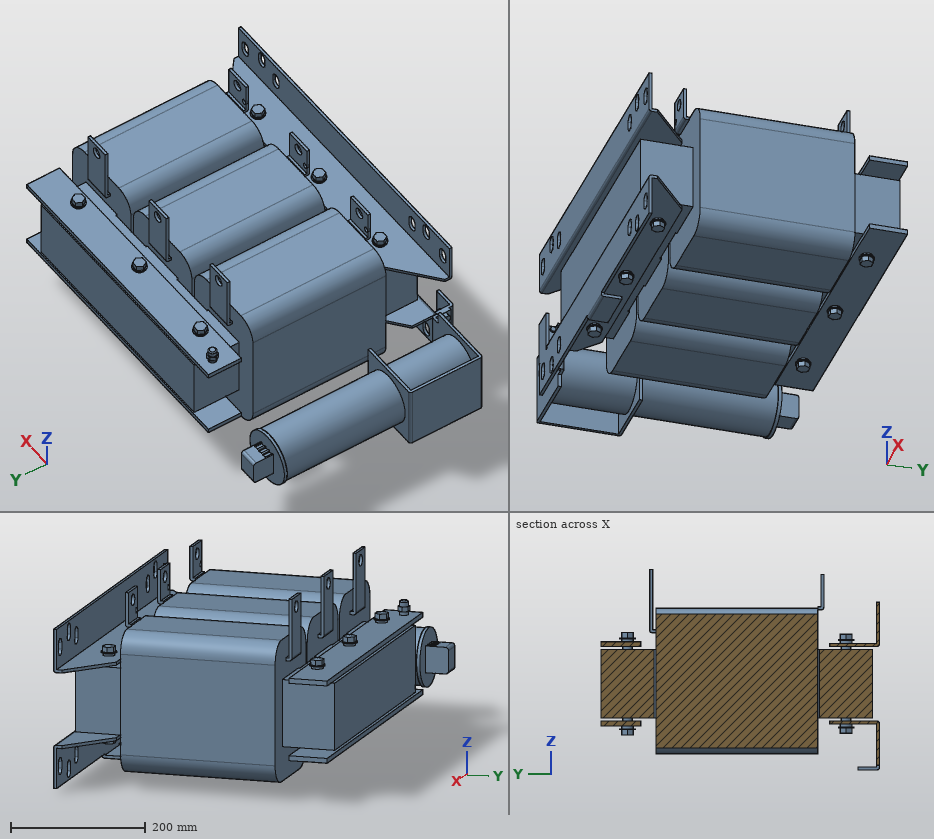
import cadquery as cq


coil_pitch = 159.5
coil_positions = [-coil_pitch, 0, coil_pitch]
leg_width = 81.5
core_length = 2 * coil_pitch + leg_width
core_depth = 405.5
core_height = 103.0
yoke_width = 79.5
coil_width = 153.0
coil_length = 242.0
coil_height = 217.0
coil_center_z = 4.0
coil_corner_radius = 31.5

sheet = 5.0
bend_radius = 4.0
clamp_gap = 4.0
clamp_z = core_height / 2 + clamp_gap
bolt_y = 163.0
spacer_diameter = 14.5
washer_diameter = 18.0
washer_height = 4.0
flange_diameter = 23.0
flange_height = 1.5
head_across_corners = 20.5
head_height = 8.0

bar_length = 475.5
bar_width = 59.5
bar_thickness = 7.5
stud_x = -216.0
stud_y = 180.0
stud_diameter = 14.0
stud_bottom_z = 48.5
stud_top_z = 85.0
stud_chamfer = 2.0
nut_z = 68.5
nut_height = 7.5
nut_across_corners = 18.5

bracket_front_y = -213.0
bracket_length = 552.0
bracket_top_z = 122.0
flange_back_y = -138.5
flange_narrow_length = 403.0
flange_taper_y = -200.0
slot_width = 16.0
slot_length = 26.0
slot_places = [(178.0, 91.0), (215.0, 105.0), (258.0, 91.0)]
lip_length = 71.0
lip_depth = 32.0
lip_bottom_z = -129.0

tab_center_z = -33.0
tab_height = 68.5
tab_right_x = -242.5
notch_right_x = -237.0
notch_bottom_z = -62.0
tab_outer_x = -bracket_length / 2 - 5.5
tab_back_y = -181.5

terminal_width = 45.0
terminal_hole_diameter = 17.0
terminal_hole_drop = 16.0
pin_hole_diameter = 8.0
pin_hole_inset = 5.0
front_terminal_y = -125.5
front_terminal_top_z = 163.0
front_terminal_bottom_z = 110.0
pin_hole_z = 127.5
rear_terminal_y = 125.5
rear_terminal_top_z = 170.5
rear_terminal_bottom_z = 76.0

can_x = -353.0
can_z = tab_center_z
can_diameter = 87.0
can_back_y = 176.0
rim_diameter = 90.5
rim_thickness = 5.5
cradle_left_x = -409.0
cradle_front_y = -177.0
cradle_back_y = -44.5
cradle_height = 109.5
cradle_front_right_x = -298.0
cradle_back_right_x = -299.5
cradle_flange_end_y = -204.0
can_nut_across_corners = 22.5
can_nut_height = 5.0
can_stud_diameter = 14.0
can_stud_length = 11.0
tab_bolt_y = -192.0
tab_bolt_spacing = 56.0
tab_bolt_across_corners = 13.0
tab_bolt_head_height = 8.0
tab_bolt_diameter = 8.0
tab_bolt_end_x = -273.0

connector_width = 32.0
connector_height = 41.0
connector_back_y = 212.0
connector_corner = 5.0
contact_count = 3
contact_pitch = 10.0
contact_width = 7.0
contact_depth = 3.0
contact_length = 13.0


def block(x_range, y_range, z_range):
    """Box given by its limits along each axis."""
    limits = [x_range, y_range, z_range]
    sizes = [high - low for low, high in limits]
    return cq.Workplane("XY").box(*sizes, centered=False).translate(tuple(low for low, high in limits))


def plane(origin, normal):
    """Workplane at a point facing along normal, with its local x along X (or Y when facing X)."""
    along = (0, 1, 0) if normal[0] else (1, 0, 0)
    return cq.Workplane(cq.Plane(origin=origin, xDir=along, normal=normal))


def mirror_z(body):
    return body.mirror("XY")


def make_core():
    core = block(
        (-core_length / 2, core_length / 2),
        (-core_depth / 2, core_depth / 2),
        (-core_height / 2, core_height / 2),
    )
    window_width = coil_pitch - leg_width
    window_depth = core_depth - 2 * yoke_width
    windows = (
        cq.Workplane("XY")
        .pushPoints([(-coil_pitch / 2, 0), (coil_pitch / 2, 0)])
        .rect(window_width, window_depth)
        .extrude(core_height, both=True)
    )
    return core.cut(windows)


def make_coil(x):
    return (
        cq.Workplane("XY")
        .box(coil_width, coil_length, coil_height)
        .edges("|Y")
        .fillet(coil_corner_radius)
        .translate((x, 0, coil_center_z))
    )


def make_terminal(x, plate_y, direction, bottom_z, top_z):
    """Upright lug whose plate starts at plate_y, with a bent foot reaching back into the coil."""
    outer_y = plate_y + direction * sheet
    coil_y = direction * coil_length / 2
    x_range = (x - terminal_width / 2, x + terminal_width / 2)
    lug = block(x_range, sorted((plate_y, outer_y)), (bottom_z, top_z))
    foot = block(x_range, sorted((coil_y, outer_y)), (bottom_z, bottom_z + sheet))
    bend_side = ">Y" if direction > 0 else "<Y"
    lug = lug.union(foot).edges("|X and <Z").edges(bend_side).fillet(bend_radius)
    hole = plane((x, outer_y, top_z - terminal_hole_drop), (0, -direction, 0))
    return lug.cut(hole.circle(terminal_hole_diameter / 2).extrude(sheet))


def make_front_terminal(x):
    lug = make_terminal(x, front_terminal_y, -1, front_terminal_bottom_z, front_terminal_top_z)
    pin_x = x - terminal_width / 2 + pin_hole_inset
    pin_hole = plane((pin_x, front_terminal_y, pin_hole_z), (0, -1, 0))
    return lug.cut(pin_hole.circle(pin_hole_diameter / 2).extrude(sheet))


def make_rear_terminal(x):
    return make_terminal(x, rear_terminal_y, 1, rear_terminal_bottom_z, rear_terminal_top_z)


def make_clamp_bolt(x, y, clamp_thickness):
    """Spacer under the clamp, then washer, flange and hex head on top of it."""
    seat_z = clamp_z + clamp_thickness
    spacer = plane((x, y, core_height / 2), (0, 0, 1)).circle(spacer_diameter / 2).extrude(clamp_gap)
    head = (
        plane((x, y, seat_z), (0, 0, 1))
        .circle(washer_diameter / 2)
        .extrude(washer_height)
        .faces(">Z")
        .workplane()
        .circle(flange_diameter / 2)
        .extrude(flange_height)
        .faces(">Z")
        .workplane()
        .polygon(6, head_across_corners)
        .extrude(head_height)
    )
    return spacer.union(head)


def make_rear_bar():
    back_y = core_depth / 2
    bar = block(
        (-bar_length / 2, bar_length / 2),
        (back_y - bar_width, back_y),
        (clamp_z, clamp_z + bar_thickness),
    )
    for x in coil_positions:
        bar = bar.union(make_clamp_bolt(x, bolt_y, bar_thickness))
    return bar


def make_earth_stud():
    stud = (
        plane((stud_x, stud_y, stud_bottom_z), (0, 0, 1))
        .circle(stud_diameter / 2)
        .extrude(stud_top_z - stud_bottom_z)
        .faces(">Z")
        .chamfer(stud_chamfer)
    )
    nut = plane((stud_x, stud_y, nut_z), (0, 0, 1)).polygon(6, nut_across_corners).extrude(nut_height)
    return stud.union(nut)


def make_front_bracket():
    """Angle above the core: slotted upright wall and a tapered flange bolted over the front yoke."""
    half = bracket_length / 2
    narrow = flange_narrow_length / 2
    wall = block((-half, half), (bracket_front_y, bracket_front_y + sheet), (clamp_z, bracket_top_z))
    flange = (
        plane((0, 0, clamp_z), (0, 0, 1))
        .moveTo(-half, bracket_front_y)
        .lineTo(half, bracket_front_y)
        .lineTo(half, flange_taper_y)
        .lineTo(narrow, flange_back_y)
        .lineTo(-narrow, flange_back_y)
        .lineTo(-half, flange_taper_y)
        .close()
        .extrude(sheet)
    )
    angle = wall.union(flange).edges("|X and <Y and <Z").fillet(bend_radius)
    slots = [(side * x, z) for side in (-1, 1) for x, z in slot_places]
    slot_cuts = (
        plane((0, bracket_front_y + sheet, 0), (0, -1, 0))
        .pushPoints(slots)
        .slot2D(slot_length, slot_width, 90)
        .extrude(sheet)
    )
    angle = angle.cut(slot_cuts)
    for x in coil_positions:
        angle = angle.union(make_clamp_bolt(x, -bolt_y, sheet))
    return angle


def make_lower_bracket():
    """Mirrored angle with a foot lip in the middle and a bent tab at its left end."""
    wall_y = (bracket_front_y, bracket_front_y + sheet)
    left_x = -bracket_length / 2
    tab_top_z = tab_center_z + tab_height / 2
    tab_z = (tab_center_z - tab_height / 2, tab_top_z)

    notch = block((left_x, notch_right_x), (bracket_front_y, flange_back_y), (notch_bottom_z, 0))
    bracket = mirror_z(make_front_bracket()).cut(notch)

    lip = block(
        (-lip_length / 2, lip_length / 2),
        (bracket_front_y, bracket_front_y + lip_depth),
        (lip_bottom_z, lip_bottom_z + sheet),
    )
    lip_wall = block((-lip_length / 2, lip_length / 2), wall_y, (lip_bottom_z, -bracket_top_z))
    lip = lip.union(lip_wall).edges("|X and <Y and <Z").fillet(bend_radius)

    tab_face = block((left_x, tab_right_x), wall_y, (notch_bottom_z, tab_top_z))
    tab_bend = block((tab_outer_x, left_x), wall_y, tab_z)
    tab_side = block((tab_outer_x, tab_outer_x + sheet), (bracket_front_y, tab_back_y), tab_z)
    tab = tab_bend.union(tab_side).edges("|Z and <X and <Y").fillet(bend_radius)
    return bracket.union(lip).union(tab_face).union(tab)


def make_cradle():
    """U-shaped capacitor bracket whose front leg ends in a flange bolted to the tab."""
    z_range = (can_z - cradle_height / 2, can_z + cradle_height / 2)
    tab_z = (tab_center_z - tab_height / 2, tab_center_z + tab_height / 2)
    front_y = (cradle_front_y, cradle_front_y + sheet)
    flange_x = (tab_outer_x - sheet, tab_outer_x)

    side = block((cradle_left_x, cradle_left_x + sheet), (cradle_front_y, cradle_back_y), z_range)
    front = block((cradle_left_x, cradle_front_right_x), front_y, z_range)
    back = block((cradle_left_x, cradle_back_right_x), (cradle_back_y - sheet, cradle_back_y), z_range)
    cradle = side.union(front).union(back).edges("|Z and <X").fillet(bend_radius)

    neck = block((cradle_front_right_x, tab_outer_x), front_y, tab_z)
    flange = block(flange_x, (cradle_flange_end_y, cradle_front_y + sheet), tab_z)
    arm = neck.union(flange).edges("|Z and >X and >Y").fillet(bend_radius)
    return cradle.union(arm)


def make_tab_bolt(z):
    head_x = tab_outer_x - sheet
    head = (
        plane((head_x, tab_bolt_y, z), (-1, 0, 0))
        .polygon(6, tab_bolt_across_corners)
        .extrude(tab_bolt_head_height)
    )
    shank = (
        plane((head_x, tab_bolt_y, z), (1, 0, 0))
        .circle(tab_bolt_diameter / 2)
        .extrude(tab_bolt_end_x - head_x)
    )
    return head.union(shank)


def make_connector():
    connector = block(
        (can_x - connector_width / 2, can_x + connector_width / 2),
        (can_back_y, connector_back_y),
        (can_z - connector_height / 2, can_z + connector_height / 2),
    )
    connector = connector.edges("|X and >Y").fillet(connector_corner)
    top_z = can_z + connector_height / 2
    for index in range(contact_count):
        x = can_x + (index - (contact_count - 1) / 2) * contact_pitch
        pocket = block(
            (x - contact_width / 2, x + contact_width / 2),
            (can_back_y, can_back_y + contact_length),
            (top_z - contact_depth, top_z),
        )
        connector = connector.cut(pocket)
    return connector


def make_capacitor():
    base_y = cradle_front_y + sheet
    can = plane((can_x, base_y, can_z), (0, 1, 0)).circle(can_diameter / 2).extrude(can_back_y - base_y)
    rim = plane((can_x, can_back_y, can_z), (0, -1, 0)).circle(rim_diameter / 2).extrude(rim_thickness)
    mount = plane((can_x, cradle_front_y, can_z), (0, -1, 0))
    nut = mount.polygon(6, can_nut_across_corners).extrude(can_nut_height)
    stud = mount.circle(can_stud_diameter / 2).extrude(can_stud_length)
    return can.union(rim).union(nut).union(stud).union(make_connector())


rear_bar = make_rear_bar()
bodies = [
    rear_bar,
    mirror_z(rear_bar),
    make_earth_stud(),
    make_front_bracket(),
    make_lower_bracket(),
    make_cradle(),
    make_tab_bolt(tab_center_z + tab_bolt_spacing / 2),
    make_tab_bolt(tab_center_z - tab_bolt_spacing / 2),
    make_capacitor(),
]
for coil_x in coil_positions:
    bodies.append(make_coil(coil_x))
    bodies.append(make_front_terminal(coil_x))
    bodies.append(make_rear_terminal(coil_x))

result = make_core()
for body in bodies:
    result = result.union(body)